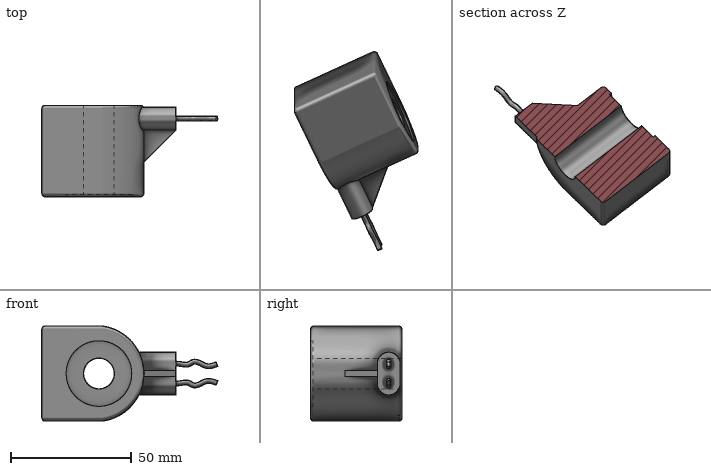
import cadquery as cq
import math

depth = 38.1
height = 39.62
back_x = -23.8
flat_end_x = 1.5
nose_x = 18.7
edge_radius = 1.524

bore_diameter = 12.7
recess_diameter = 27.3
recess_depth = 1.0

outlet_thickness = 9.525
outlet_height = 17.78
outlet_end_x = 32.03
outlet_y = 13.5
round_spacing = outlet_height - outlet_thickness

rib_thickness = 2.39

wire_diameter = 2.0
wire_root = (0, 0)
first_dip = (4.4, -0.44)
crest = (7.8, 0.83)
second_dip = (13.5, -1.07)
wire_tip_angle = 21
wire_tip_rise = -0.2
overall_length = 73.22
wire_reach = overall_length + back_x - outlet_end_x
wire_tip_x = wire_reach - wire_diameter / 2 * math.sin(math.radians(wire_tip_angle))


def make_housing():
    """Block with a bowed nose, all edges rounded."""
    half_height = height / 2
    return (
        cq.Workplane("XZ")
        .moveTo(back_x, -half_height)
        .lineTo(flat_end_x, -half_height)
        .threePointArc((nose_x, 0), (flat_end_x, half_height))
        .lineTo(back_x, half_height)
        .close()
        .extrude(depth / 2, both=True)
        .edges()
        .fillet(edge_radius)
    )


def make_outlet():
    """Bar with a stadium section, running from the bore axis to the outlet end."""
    return (
        cq.Workplane("YZ")
        .center(outlet_y, 0)
        .slot2D(outlet_height, outlet_thickness, 90)
        .extrude(outlet_end_x)
    )


def make_rib():
    """Right triangle whose slope falls from the outlet end back into the housing."""
    return (
        cq.Workplane("XY")
        .moveTo(0, outlet_y)
        .lineTo(outlet_end_x, outlet_y)
        .lineTo(outlet_end_x, outlet_y - outlet_thickness / 2)
        .lineTo(0, outlet_y - outlet_thickness / 2 - outlet_end_x)
        .close()
        .extrude(rib_thickness / 2, both=True)
    )


def make_upper_wire():
    """Round wire swept along a wavy path in the XZ plane."""
    level = (1, 0)
    tip_slope = math.radians(wire_tip_angle)
    tip_direction = (math.cos(tip_slope), math.sin(tip_slope))
    wire_start = cq.Vector(outlet_end_x, outlet_y, round_spacing / 2)
    path = (
        cq.Workplane("XZ", origin=wire_start)
        .spline(
            [wire_root, first_dip, crest, second_dip, (wire_tip_x, wire_tip_rise)],
            tangents=[level, level, level, level, tip_direction],
        )
    )
    return cq.Workplane("YZ", origin=wire_start).circle(wire_diameter / 2).sweep(path)


def cut_bore(body):
    bore = cq.Workplane("XZ").circle(bore_diameter / 2).extrude(depth, both=True)
    recess = (
        cq.Workplane("XZ", origin=(0, -depth / 2, 0))
        .circle(recess_diameter / 2)
        .extrude(-recess_depth)
    )
    return body.cut(bore).cut(recess)


body = make_housing().union(make_outlet()).union(make_rib())
upper_wire = make_upper_wire()
body = body.union(upper_wire).union(upper_wire.mirror("XY"))
result = cut_bore(body)